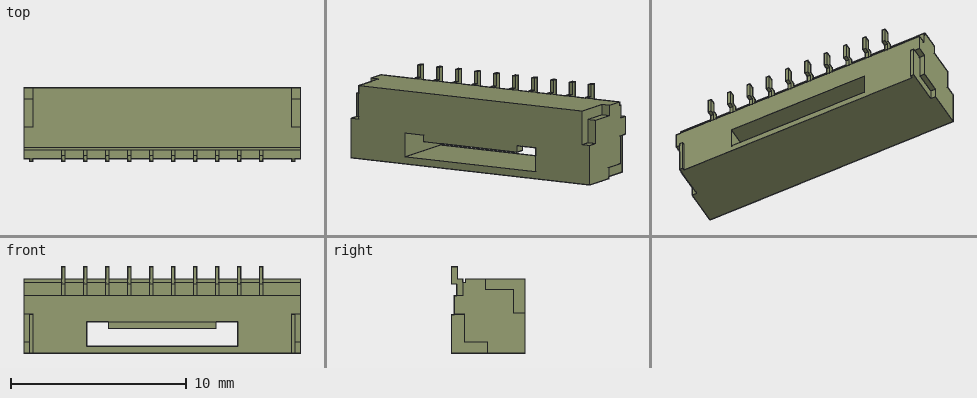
import cadquery as cq

body_length = 15.75
half_length = body_length / 2
body_height = 4.25
body_front = 0.15
body_back = 4.2

ledge_height = 3.3
ledge_back = 0.65
step_height = 4.05
step_back = 0.8

pin_count = 10
pin_pitch = 1.25
pin_width = 0.2
pin_top = 4.95
foot_front = 0.3
blade_back = 0.35
blade_bottom = 3.95

recess_depth = 0.5
rear_arm_thickness = 0.65
rear_arm_bottom = 2.3
top_arm_thickness = 0.6
top_arm_length = 2.25

tab_thickness = 0.2
tab_upright_back = 0.75
tab_base_back = 2.05
tab_base_height = 0.65
tab_top = 2.22
tab_pocket_top = 2.26

window_length = 8.6
window_bottom = 0.42
window_top = 1.8
lip_length = 6.15
lip_bottom = 1.42
lip_thickness = 0.65


def box(x_range, y_range, z_range):
    """Axis-aligned box between the given limits."""
    (x0, x1), (y0, y1), (z0, z1) = x_range, y_range, z_range
    return cq.Workplane("XY").box(x1 - x0, y1 - y0, z1 - z0, centered=False).translate((x0, y0, z0))


def extrude_profile(yz_points, x_start, length):
    """Closed Y-Z outline extruded along +X from x_start."""
    return cq.Workplane("YZ", origin=(x_start, 0, 0)).polyline(yz_points).close().extrude(length)


def housing():
    outline = [
        (body_front, 0),
        (body_back, 0),
        (body_back, body_height),
        (step_back, body_height),
        (step_back, step_height),
        (ledge_back, step_height),
        (ledge_back, ledge_height),
        (body_front, ledge_height),
    ]
    return extrude_profile(outline, -half_length, body_length)


def pin(x_centre):
    """Cranked contact: a foot standing on the ledge and a blade rising in front of it."""
    outline = [
        (ledge_back, ledge_height),
        (foot_front, ledge_height),
        (foot_front, blade_bottom),
        (0, blade_bottom),
        (0, pin_top),
        (blade_back, pin_top),
        (blade_back, body_height),
        (ledge_back, body_height),
    ]
    return extrude_profile(outline, x_centre - pin_width / 2, pin_width)


def upper_recess():
    """L-shaped cut at the upper rear of the left end."""
    arm_back = body_back - rear_arm_thickness
    arm_front = body_back - top_arm_length
    arm_underside = body_height - top_arm_thickness
    outline = [
        (body_back, body_height),
        (body_back, rear_arm_bottom),
        (arm_back, rear_arm_bottom),
        (arm_back, arm_underside),
        (arm_front, arm_underside),
        (arm_front, body_height),
    ]
    return extrude_profile(outline, -half_length, recess_depth)


def tab_outline(top):
    return [
        (0, 0),
        (tab_base_back, 0),
        (tab_base_back, tab_base_height),
        (tab_upright_back, tab_base_height),
        (tab_upright_back, top),
        (0, top),
    ]


def tab_pocket():
    return extrude_profile(tab_outline(tab_pocket_top), -half_length, recess_depth)


def solder_tab():
    """Left tab, lying against the inner wall of its pocket."""
    x_start = -half_length + recess_depth - tab_thickness
    return extrude_profile(tab_outline(tab_top), x_start, tab_thickness)


def window():
    half_window = window_length / 2
    return box((-half_window, half_window), (body_front, body_back), (window_bottom, window_top))


def window_lip():
    half_lip = lip_length / 2
    return box((-half_lip, half_lip), (body_back - lip_thickness, body_back), (lip_bottom, window_top))


def both_ends(left_shape):
    return left_shape.union(left_shape.mirror("YZ"))


result = housing().cut(window()).union(window_lip())
result = result.cut(both_ends(upper_recess())).cut(both_ends(tab_pocket()))
result = result.union(both_ends(solder_tab()))
for index in range(pin_count):
    pin_x = (index - (pin_count - 1) / 2) * pin_pitch
    result = result.union(pin(pin_x))